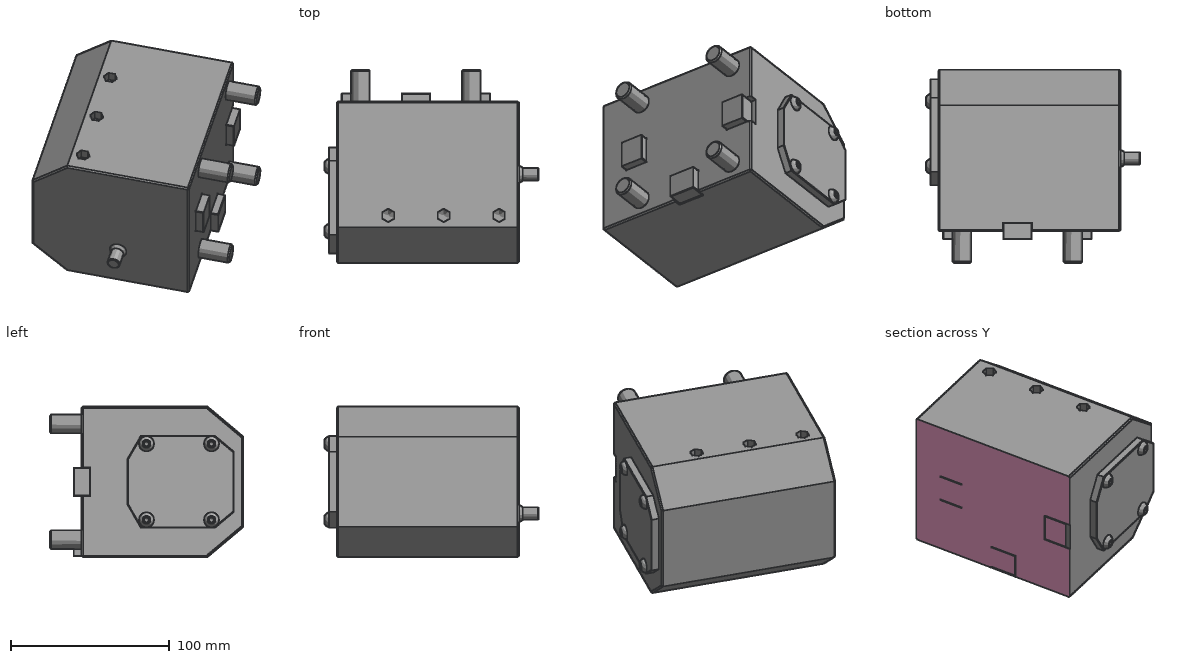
import cadquery as cq
import math


body_length = 115.0
body_depth = 102.0
body_height = 95.0
bevel_rise = 19.0
bevel_angle = 40.0
edge_chamfer = 1.0

mount_x = 50.0
post_pitch_x = 70.0
post_pitch_z = 73.0
post_diameter = 12.0
post_length = 20.0
post_chamfer = 1.0

key_width = 18.0
key_length = 16.0
key_outer_radius = 47.0
key_projection = 5.0
key_seat_depth = 5.5
key_clearance = 0.25
key_chamfer = 0.4

cover_thickness = 5.0
cover_height = 58.0
cover_rear_y = -29.0
cover_front_y = -96.0
cover_front_cut = 10.0
cover_rear_cut = 14.7
cover_rear_angle = 60.0
cover_chamfer = 0.4

screw_rear_y = -41.0
screw_pitch_y = 41.0
screw_pitch_z = 48.0
head_diameter = 9.5
head_flat_diameter = 5.0
head_height = 2.75
head_socket_flats = 3.0
head_socket_depth = 1.5

cable_y = -46.0
cable_z = -20.0
cable_diameter = 8.0
cable_reach = 12.34
cable_chamfer = 0.5
collar_diameter = 10.8
collar_height = 2.4

top_socket_x = 32.5
top_socket_pitch = 35.0
top_socket_count = 3
top_socket_y = -72.0
top_socket_flats = 7.3
top_socket_depth = 6.0

cone_angle = 120.0


def hex_socket(across_flats, depth):
    """Hexagonal cutter below the XY plane, corners along Y, with a conical bottom."""
    corner_radius = across_flats / 2 / math.cos(math.radians(30))
    tip_depth = depth + corner_radius / math.tan(math.radians(cone_angle / 2))
    hexagon = (
        cq.Workplane("XY")
        .polygon(6, 2 * corner_radius)
        .extrude(-tip_depth)
        .rotate((0, 0, 0), (0, 0, 1), 90)
    )
    drill = (
        cq.Workplane("XZ")
        .polyline([(0, 0), (corner_radius, 0), (corner_radius, -depth), (0, -tip_depth)])
        .close()
        .revolve(360, (0, 0, 0), (0, 1, 0))
    )
    return hexagon.intersect(drill)


def dome(base_diameter, flat_diameter, height):
    """Spherical zone standing on the XY plane, flat on top."""
    base_r = base_diameter / 2
    flat_r = flat_diameter / 2
    centre_z = (flat_r**2 + height**2 - base_r**2) / (2 * height)
    sphere_r = math.hypot(base_r, centre_z)
    mid_z = height / 2
    mid_r = math.sqrt(sphere_r**2 - (mid_z - centre_z) ** 2)
    return (
        cq.Workplane("XZ")
        .lineTo(base_r, 0)
        .threePointArc((mid_r, mid_z), (flat_r, height))
        .lineTo(0, height)
        .close()
        .revolve(360, (0, 0, 0), (0, 1, 0))
    )


def make_body():
    half = body_height / 2
    bevel_run = bevel_rise / math.tan(math.radians(bevel_angle))
    outline = [
        (0, -half),
        (0, half),
        (bevel_run - body_depth, half),
        (-body_depth, half - bevel_rise),
        (-body_depth, bevel_rise - half),
        (bevel_run - body_depth, -half),
    ]
    body = cq.Workplane("YZ").polyline(outline).close().extrude(body_length)
    return body.faces("<X or >X or >Y").edges().chamfer(edge_chamfer)


def make_posts():
    post = (
        cq.Workplane("XZ", origin=(mount_x, 0, 0))
        .rarray(post_pitch_x, post_pitch_z, 2, 2)
        .circle(post_diameter / 2)
        .extrude(-post_length)
    )
    return post.faces(">Y").edges().chamfer(post_chamfer)


def aim_outward(shape, angle):
    """Turn a shape built toward -X about the mount axis."""
    return shape.rotate((mount_x, 0, 0), (mount_x, 1, 0), angle)


def make_key(angle):
    key = cq.Workplane("XY").box(
        key_length,
        key_seat_depth + key_projection,
        key_width,
        centered=(False, False, True),
    )
    key = key.faces("<X or >X").edges().chamfer(key_chamfer)
    key = key.translate((mount_x - key_outer_radius, -key_seat_depth, 0))
    return aim_outward(key, angle)


def make_key_slot(angle, edge_distance):
    """Slot from the body edge inward to the inner end of the key."""
    slot = cq.Workplane("XY").box(
        edge_distance - key_outer_radius + key_length,
        key_seat_depth,
        key_width + 2 * key_clearance,
        centered=(False, False, True),
    )
    slot = slot.translate((mount_x - edge_distance, -key_seat_depth, 0))
    return aim_outward(slot, angle)


def make_cover():
    half = cover_height / 2
    front_run = cover_front_cut / math.tan(math.radians(bevel_angle))
    rear_run = cover_rear_cut / math.tan(math.radians(cover_rear_angle))
    outline = [
        (cover_rear_y, half - cover_rear_cut),
        (cover_rear_y - rear_run, half),
        (cover_front_y + front_run, half),
        (cover_front_y, half - cover_front_cut),
        (cover_front_y, cover_front_cut - half),
        (cover_front_y + front_run, -half),
        (cover_rear_y - rear_run, -half),
        (cover_rear_y, cover_rear_cut - half),
    ]
    cover = cq.Workplane("YZ").polyline(outline).close().extrude(-cover_thickness)
    return cover.faces("<X").edges().chamfer(cover_chamfer)


def make_screw_heads():
    head = dome(head_diameter, head_flat_diameter, head_height)
    socket = hex_socket(head_socket_flats, head_socket_depth)
    socket = socket.translate((0, 0, head_height)).rotate((0, 0, 0), (0, 0, 1), 90)
    head = head.cut(socket).rotate((0, 0, 0), (0, 1, 0), -90)
    heads = cq.Workplane("XY")
    for y in (screw_rear_y, screw_rear_y - screw_pitch_y):
        for z in (-screw_pitch_z / 2, screw_pitch_z / 2):
            heads = heads.add(head.translate((-cover_thickness, y, z)))
    return heads.combine()


def make_cable_outlet():
    cable = cq.Workplane("XY").circle(cable_diameter / 2).extrude(cable_reach)
    cable = cable.faces(">Z").edges().chamfer(cable_chamfer)
    collar = dome(collar_diameter, cable_diameter, collar_height)
    outlet = cable.union(collar).rotate((0, 0, 0), (0, 1, 0), 90)
    return outlet.translate((body_length, cable_y, cable_z))


def make_top_socket(x):
    socket = hex_socket(top_socket_flats, top_socket_depth)
    return socket.translate((x, top_socket_y, body_height / 2))


key_layout = [
    (0, mount_x),
    (-90, body_height / 2),
    (180, key_outer_radius),
]

result = make_body()
for angle, edge_distance in key_layout:
    result = result.cut(make_key_slot(angle, edge_distance))
    result = result.union(make_key(angle))
for index in range(top_socket_count):
    result = result.cut(make_top_socket(top_socket_x + index * top_socket_pitch))
result = result.union(make_posts())
result = result.union(make_cover())
result = result.union(make_screw_heads())
result = result.union(make_cable_outlet())